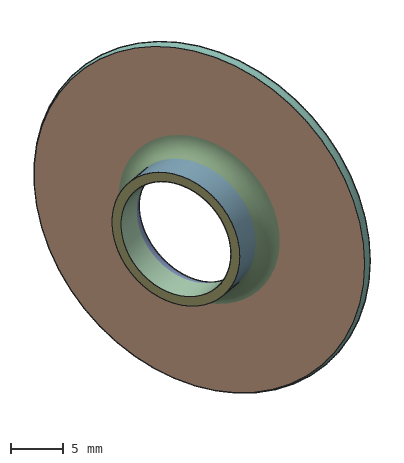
import cadquery as cq
import math

rim_radius = 18.2
face_radius = 18.0
plate_thickness = 1.05

overall_depth = 5.55
collar_radius = 6.95
bore_radius = 5.97
straight_length = 3.05

flare_radius = 8.77

collar_end_y = -overall_depth
flare_start_y = collar_end_y + straight_length
front_face_y = -plate_thickness


def flare_midpoint(start_radius, face_y):
    """Middle of the arc from the collar to the plate face, tangent to that face."""
    radial_run = flare_radius - start_radius
    axial_run = face_y - flare_start_y
    arc_radius = (radial_run**2 + axial_run**2) / (2 * axial_run)
    half_angle = math.atan2(axial_run, radial_run)
    return (
        flare_radius - arc_radius * math.sin(half_angle),
        face_y - arc_radius * (1 - math.cos(half_angle)),
    )


section = (
    cq.Workplane("XY")
    .moveTo(bore_radius, collar_end_y)
    .lineTo(collar_radius, collar_end_y)
    .lineTo(collar_radius, flare_start_y)
    .threePointArc(flare_midpoint(collar_radius, front_face_y), (flare_radius, front_face_y))
    .lineTo(face_radius, front_face_y)
    .threePointArc((rim_radius, front_face_y / 2), (face_radius, 0))
    .lineTo(flare_radius, 0)
    .threePointArc(flare_midpoint(bore_radius, 0), (bore_radius, flare_start_y))
    .close()
)

result = section.revolve(360, (0, 0, 0), (0, 1, 0))